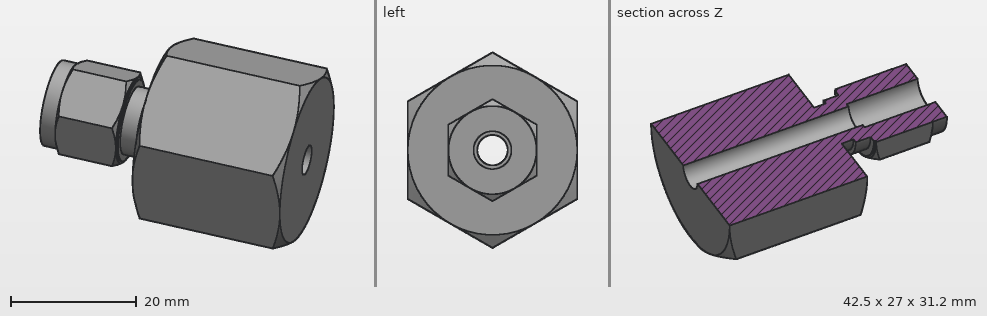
import cadquery as cq
import math


total_length = 42.5
nut_start = 2.55
nut_end = 12.75
washer_end = 13.0
collar_end = 15.7
body_start = 17.72

hexagon_sides = 6
nut_across_flats = 14.05
body_across_flats = 27.0
chamfer_angle = 30.0

ferrule_cap_diameter = 14.02
washer_diameter = 13.35
collar_diameter = 11.15
neck_diameter = 9.6

tube_socket_diameter = 6.05
tube_socket_depth = nut_end
through_bore_diameter = 4.8


def cylinder(diameter, start, end):
    """Round section on the X axis between two stations."""
    return cq.Workplane("YZ", origin=(start, 0, 0)).circle(diameter / 2).extrude(end - start)


def chamfered_hexagon(across_flats, start, end):
    """Hexagonal prism whose corners are turned off conically at both ends."""
    inner_radius = across_flats / 2
    corner_radius = inner_radius / math.cos(math.pi / hexagon_sides)
    chamfer_length = (corner_radius - inner_radius) * math.tan(math.radians(chamfer_angle))

    prism = (
        cq.Workplane("YZ", origin=(start, 0, 0))
        .transformed(rotate=(0, 0, 90))
        .polygon(hexagon_sides, 2 * corner_radius)
        .extrude(end - start)
    )
    turned_envelope = (
        cq.Workplane("XY")
        .moveTo(start, 0)
        .lineTo(start, inner_radius)
        .lineTo(start + chamfer_length, corner_radius)
        .lineTo(end - chamfer_length, corner_radius)
        .lineTo(end, inner_radius)
        .lineTo(end, 0)
        .close()
        .revolve(360, (0, 0, 0), (1, 0, 0))
    )
    return prism.intersect(turned_envelope)


nut = cylinder(ferrule_cap_diameter, 0, nut_start)
nut = nut.union(chamfered_hexagon(nut_across_flats, nut_start, nut_end))
nut = nut.union(cylinder(washer_diameter, nut_end, washer_end))

shank = cylinder(collar_diameter, washer_end, collar_end)
shank = shank.union(cylinder(neck_diameter, collar_end, body_start))

body = chamfered_hexagon(body_across_flats, body_start, total_length)

tube_socket = cylinder(tube_socket_diameter, 0, tube_socket_depth)
through_bore = cylinder(through_bore_diameter, 0, total_length)

result = nut.union(shank).union(body).cut(tube_socket).cut(through_bore)